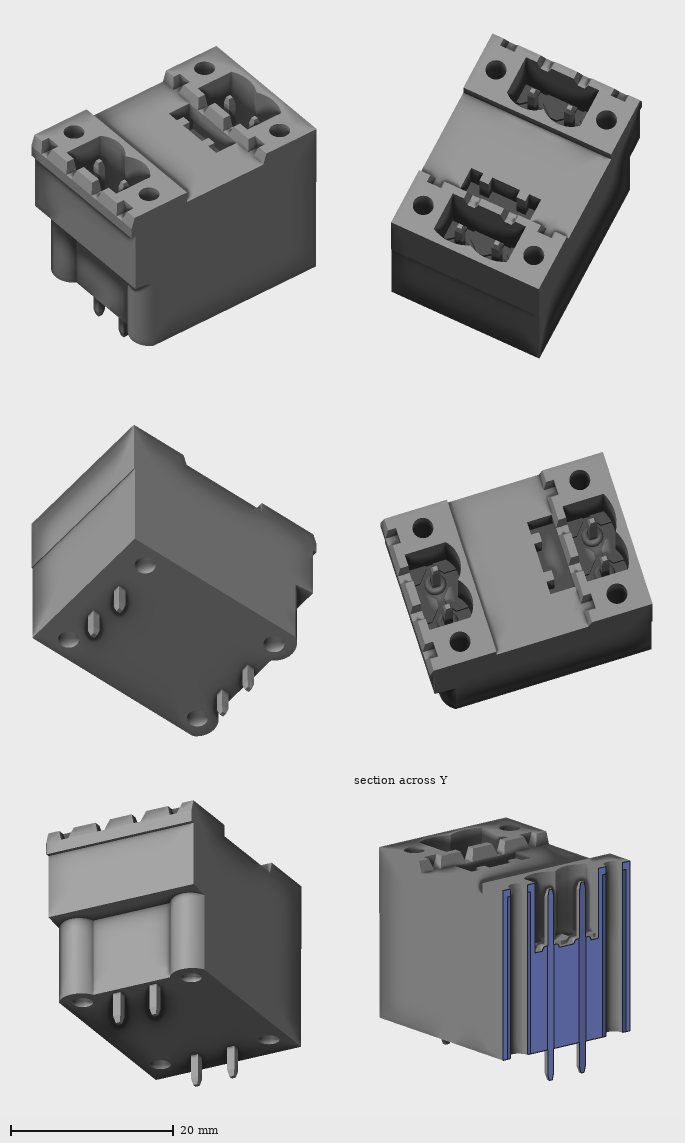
import cadquery as cq
import math

WIDTH = 20.33
LENGTH = 28.8
HEIGHT = 21.92
BACK_Y = LENGTH / 2
FRONT_Y = -LENGTH / 2

PITCH = 5.07
PIN_XS = (-PITCH / 2, PITCH / 2)
HOLE_XS = (-1.5 * PITCH, 1.5 * PITCH)
NOTCH_XS = HOLE_XS + PIN_XS
REAR_ROW_Y = 10.6
FRONT_ROW_Y = -9.7
ROW_YS = (REAR_ROW_Y, FRONT_ROW_Y)

DECK_DEPTH = 1.53
DECK_Z = HEIGHT - DECK_DEPTH
DECK_FRONT_Y = -5.8
LIP_SLOPE = 0.5
LIP_OVERHANG = 0.58
LIP_HEIGHT = 1.53
REAR_LIP_Y = 6.08
BACK_STEP = 0.15
BACK_STEP_Z = 13.45
FOOT_FRONT_Y = -11.05
FOOT_TOP_Z = 10.15
UNDERSIDE_FRONT_Z = 10.5

BOSS_WIDTH = 4.8
BOSS_BULGE = 1.38

SOCKET_WIDTH = 10.08
SOCKET_FLOOR_Z = BACK_STEP_Z
REAR_SOCKET_FRONT_Y = 7.55
REAR_SOCKET_SHOULDER_Y = 12.85
REAR_SOCKET_BULGE = 0.65
FRONT_SOCKET_FRONT_Y = -12.87
FRONT_SOCKET_SHOULDER_Y = -7.57
FRONT_SOCKET_BULGE = 1.0

CHANNEL_DEPTH = 0.52
CHANNEL_WIDTH = 1.0
BACK_CHANNEL_WIDTH = 1.9
FLARE_REACH_X = 2.1
FLARE_REACH_BACK = 1.45
FLARE_REACH_FRONT = 1.85

PEDESTAL_DIAMETER = 2.75
PEDESTAL_TOP_DIAMETER = 1.7

NOTCH_TOP_WIDTH = 2.02
NOTCH_BOTTOM_WIDTH = 0.98

POCKET_WIDTH = 9.62
POCKET_FRONT_Y = 2.88
POCKET_DEPTH = 4.32
POCKET_LIP_HEIGHT = 2.2
KEY_WIDTH = 1.25
KEY_LENGTH = 1.05

HOLE_DIAMETER = 2.6
SLEEVE_DIAMETER = 3.6
SLEEVE_TOP_Z = HEIGHT - 1.05

PIN_SIDE = 1.0
PIN_TIP_SIDE = 0.58
PIN_TAPER = 0.9
PIN_TOP_Z = HEIGHT - 1.3
PIN_BOTTOM_Z = -3.97


def box(x_min, x_max, y_min, y_max, z_min, z_max):
    """Box between the given limits."""
    size = (x_max - x_min, y_max - y_min, z_max - z_min)
    return cq.Workplane("XY").box(*size, centered=False).translate((x_min, y_min, z_min))


def housing_block():
    """Side profile with two raised blocks and a stepped front, extruded across the width."""
    profile = [
        (BACK_Y - BACK_STEP, 0),
        (BACK_Y - BACK_STEP, BACK_STEP_Z),
        (BACK_Y, BACK_STEP_Z),
        (BACK_Y, HEIGHT),
        (REAR_LIP_Y + LIP_SLOPE, HEIGHT),
        (REAR_LIP_Y, DECK_Z),
        (DECK_FRONT_Y, DECK_Z),
        (DECK_FRONT_Y, HEIGHT),
        (FRONT_Y + LIP_SLOPE, HEIGHT),
        (FRONT_Y, DECK_Z),
        (FRONT_Y, DECK_Z - LIP_HEIGHT),
        (FRONT_Y + LIP_OVERHANG, DECK_Z - LIP_HEIGHT),
        (FRONT_Y + LIP_OVERHANG, UNDERSIDE_FRONT_Z),
        (FOOT_FRONT_Y, FOOT_TOP_Z),
        (FOOT_FRONT_Y, 0),
    ]
    return cq.Workplane("YZ").polyline(profile).close().extrude(WIDTH / 2, both=True)


def front_boss(side):
    """Rounded boss at one end of the foot, running up into the overhanging front block."""
    outer_x = side * WIDTH / 2
    inner_x = outer_x - side * BOSS_WIDTH
    tip = ((outer_x + inner_x) / 2, FOOT_FRONT_Y - BOSS_BULGE)
    return (
        cq.Workplane("XY")
        .moveTo(outer_x, FOOT_FRONT_Y)
        .threePointArc(tip, (inner_x, FOOT_FRONT_Y))
        .close()
        .extrude(UNDERSIDE_FRONT_Z)
    )


def socket(front_y, shoulder_y, bulge, floor_z):
    """Socket cavity with a straight front and two arcs at the back, one behind each pin."""
    half_width = SOCKET_WIDTH / 2
    arc_top_y = shoulder_y + bulge
    return (
        cq.Workplane("XY", origin=(0, 0, floor_z))
        .moveTo(-half_width, front_y)
        .lineTo(half_width, front_y)
        .lineTo(half_width, shoulder_y)
        .threePointArc((half_width / 2, arc_top_y), (0, shoulder_y))
        .threePointArc((-half_width / 2, arc_top_y), (-half_width, shoulder_y))
        .close()
        .extrude(HEIGHT - floor_z)
    )


def floor_channels(row_y):
    """Crossing channels through both pins of a row, flared out around each pin.

    They run beyond the socket at the front and back and are trimmed to it afterwards.
    """
    half = CHANNEL_WIDTH / 2
    back_half = BACK_CHANNEL_WIDTH / 2
    reach = SOCKET_WIDTH
    outline = [
        (-half, -reach),
        (half, -reach),
        (half, -FLARE_REACH_FRONT),
        (FLARE_REACH_X, -half),
        (PITCH / 2, -half),
        (PITCH / 2, half),
        (FLARE_REACH_X, half),
        (back_half, FLARE_REACH_BACK),
        (back_half, reach),
        (-back_half, reach),
        (-back_half, FLARE_REACH_BACK),
        (-FLARE_REACH_X, half),
        (-PITCH / 2, half),
        (-PITCH / 2, -half),
        (-FLARE_REACH_X, -half),
        (-half, -FLARE_REACH_FRONT),
    ]
    channels = cq.Workplane("XY")
    for pin_x in PIN_XS:
        cross = cq.Workplane("XY").polyline(outline).close().extrude(HEIGHT)
        channels = channels.union(cross.translate((pin_x, row_y, 0)))
    return channels


def socket_cut(row_y, front_y, shoulder_y, bulge):
    """Whole cavity of one row: the socket and the channels in its floor."""
    cavity = socket(front_y, shoulder_y, bulge, SOCKET_FLOOR_Z)
    deep_cavity = socket(front_y, shoulder_y, bulge, SOCKET_FLOOR_Z - CHANNEL_DEPTH)
    return cavity.union(deep_cavity.intersect(floor_channels(row_y)))


def pedestal(x, y):
    """Round pedestal with a fully rounded shoulder, standing on the channel floor."""
    radius = PEDESTAL_DIAMETER / 2
    top_radius = PEDESTAL_TOP_DIAMETER / 2
    height = radius - top_radius
    shoulder = height / math.sqrt(2)
    return (
        cq.Workplane("XZ")
        .lineTo(radius, 0)
        .threePointArc((top_radius + shoulder, shoulder), (top_radius, height))
        .lineTo(0, height)
        .close()
        .revolve(360, (0, 0, 0), (0, 1, 0))
        .translate((x, y, SOCKET_FLOOR_Z - CHANNEL_DEPTH))
    )


def lip_notch(x, lip_y, back_y):
    """Tapered notch through a lip, narrowing down to the level of the deck."""
    top = NOTCH_TOP_WIDTH / 2
    bottom = NOTCH_BOTTOM_WIDTH / 2
    return (
        cq.Workplane("XZ", origin=(x, back_y, 0))
        .polyline([(-bottom, DECK_Z), (bottom, DECK_Z), (top, HEIGHT), (-top, HEIGHT)])
        .close()
        .extrude(back_y - lip_y)
    )


def latch_pocket():
    """Deck pocket with two keys on its front wall, undercut below the rear lip."""
    half_width = POCKET_WIDTH / 2
    floor_z = DECK_Z - POCKET_DEPTH
    pocket = box(-half_width, half_width, POCKET_FRONT_Y, REAR_LIP_Y, floor_z, DECK_Z)
    undercut_y = REAR_LIP_Y + LIP_OVERHANG
    undercut_top_z = DECK_Z - POCKET_LIP_HEIGHT
    undercut = box(-half_width, half_width, REAR_LIP_Y, undercut_y, floor_z, undercut_top_z)
    pocket = pocket.union(undercut)
    for x in PIN_XS:
        key_end_y = POCKET_FRONT_Y + KEY_LENGTH
        key = box(x - KEY_WIDTH / 2, x + KEY_WIDTH / 2, POCKET_FRONT_Y, key_end_y, floor_z, DECK_Z)
        pocket = pocket.cut(key)
    return pocket


def cylinder(x, y, diameter, z_min, z_max):
    """Upright cylinder."""
    return cq.Workplane("XY", origin=(x, y, z_min)).circle(diameter / 2).extrude(z_max - z_min)


def make_sleeve(x, y):
    """Sleeve lining a mounting hole from below its mouth to the underside."""
    bore = cylinder(x, y, HOLE_DIAMETER, 0, SLEEVE_TOP_Z)
    return cylinder(x, y, SLEEVE_DIAMETER, 0, SLEEVE_TOP_Z).cut(bore)


def pin_tip(z, direction):
    """Tapered square tip, starting at height z and pointing up (1) or down (-1)."""
    return (
        cq.Workplane("XY", origin=(0, 0, z))
        .rect(PIN_SIDE, PIN_SIDE)
        .workplane(offset=direction * PIN_TAPER)
        .rect(PIN_TIP_SIDE, PIN_TIP_SIDE)
        .loft()
    )


def make_pin(x, y):
    """Square pin with a tapered tip at both ends."""
    shank_bottom_z = PIN_BOTTOM_Z + PIN_TAPER
    shank_top_z = PIN_TOP_Z - PIN_TAPER
    half = PIN_SIDE / 2
    shank = box(-half, half, -half, half, shank_bottom_z, shank_top_z)
    pin = shank.union(pin_tip(shank_top_z, 1)).union(pin_tip(shank_bottom_z, -1))
    return pin.translate((x, y, 0))


def make_housing(inserted_bodies):
    """Housing with its sockets, notches, pocket and holes, fitted around the inserted bodies."""
    body = housing_block()
    for side in (-1, 1):
        body = body.union(front_boss(side))

    body = body.cut(
        socket_cut(REAR_ROW_Y, REAR_SOCKET_FRONT_Y, REAR_SOCKET_SHOULDER_Y, REAR_SOCKET_BULGE)
    )
    body = body.cut(
        socket_cut(FRONT_ROW_Y, FRONT_SOCKET_FRONT_Y, FRONT_SOCKET_SHOULDER_Y, FRONT_SOCKET_BULGE)
    )
    for y in ROW_YS:
        for x in PIN_XS:
            body = body.union(pedestal(x, y))

    for x in NOTCH_XS:
        body = body.cut(lip_notch(x, REAR_LIP_Y, REAR_SOCKET_FRONT_Y))
        body = body.cut(lip_notch(x, FRONT_Y, FRONT_SOCKET_FRONT_Y))
    body = body.cut(latch_pocket())

    for y in ROW_YS:
        for x in HOLE_XS:
            body = body.cut(cylinder(x, y, HOLE_DIAMETER, 0, HEIGHT))
    for inserted in inserted_bodies:
        body = body.cut(inserted)
    return body


pins = [make_pin(x, y) for y in ROW_YS for x in PIN_XS]
sleeves = [make_sleeve(x, y) for y in ROW_YS for x in HOLE_XS]
housing = make_housing(pins + sleeves)

result = cq.Compound.makeCompound([housing.val(), *[body.val() for body in pins + sleeves]])